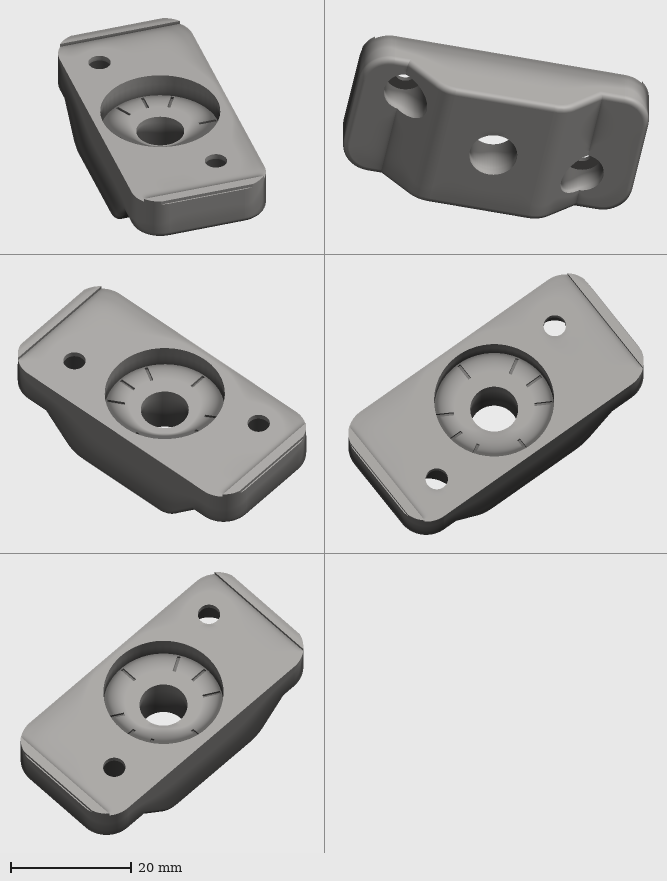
import cadquery as cq

LENGTH = 49.0
WIDTH = 23.25
HEIGHT = 13.6
CORNER_RADIUS = 5.0
BOTTOM_FILLET = 1.0

LIP_HEIGHT = 0.6
LIP_INNER_INSET = 1.8
LIP_OUTER_INSET = 0.2

FLANGE_BOTTOM_Z = 6.05
HUMP_CENTER_X = -0.75
HUMP_FLAT_HALF = 10.5
HUMP_CORNER_RADIUS = 5.0

DIAL_X = -0.5
DIAL_Y = -0.15
DIAL_DIAMETER = 20.0
DIAL_DEPTH = 4.1
CENTER_HOLE_DIAMETER = 8.0

TICK_ANGLES = (0, 30, 90, 150, 180, 210, 270, 330)
TICK_INNER_RADIUS = 6.75
TICK_LENGTH = 3.0
TICK_WIDTH = 0.55
TICK_DEPTH = 0.5

SCREW_OFFSET_X = 16.0
SCREW_POSITIONS = (
    (DIAL_X - SCREW_OFFSET_X, -5.6),
    (DIAL_X + SCREW_OFFSET_X, 4.4),
)
SCREW_DIAMETER = 3.7
COUNTERBORE_DIAMETER = 7.2
SCREW_WEB = 1.0

END_X = LENGTH / 2
DECK_Z = HEIGHT - LIP_HEIGHT
DIAL_FLOOR_Z = DECK_Z - DIAL_DEPTH


def make_body():
    """Rounded block with a hump below, rounded along its whole bottom outline."""
    slope_top_half = HUMP_FLAT_HALF + FLANGE_BOTTOM_Z
    profile = (
        cq.Workplane("XZ")
        .polyline([
            (-END_X, HEIGHT),
            (-END_X, FLANGE_BOTTOM_Z),
            (HUMP_CENTER_X - slope_top_half, FLANGE_BOTTOM_Z),
            (HUMP_CENTER_X - HUMP_FLAT_HALF, 0),
            (HUMP_CENTER_X + HUMP_FLAT_HALF, 0),
            (HUMP_CENTER_X + slope_top_half, FLANGE_BOTTOM_Z),
            (END_X, FLANGE_BOTTOM_Z),
            (END_X, HEIGHT),
        ])
        .close()
        .extrude(WIDTH / 2, both=True)
    )
    body = profile.faces("<Z").edges("|Y").fillet(HUMP_CORNER_RADIUS)
    body = body.edges("|Z").fillet(CORNER_RADIUS)

    return body.faces("-Z").edges("|X").fillet(BOTTOM_FILLET)


def box_between(x_min, x_max, z_min, z_max):
    """Block spanning the full width between the given X and Z limits."""
    return (
        cq.Workplane("XY", origin=(x_min, 0, z_min))
        .box(x_max - x_min, WIDTH, z_max - z_min, centered=(False, True, False))
    )


def cut_lips(body):
    """Lower the deck between the lips and set the lips back from the ends."""
    deck_half = END_X - LIP_INNER_INSET
    lip_half = END_X - LIP_OUTER_INSET
    for x_min, x_max in ((-END_X, -lip_half), (-deck_half, deck_half), (lip_half, END_X)):
        body = body.cut(box_between(x_min, x_max, DECK_Z, HEIGHT))
    return body


def cylinder(x, y, diameter, z_min, z_max):
    """Upright cylinder between two heights."""
    return (
        cq.Workplane("XY", origin=(x, y, z_min))
        .circle(diameter / 2)
        .extrude(z_max - z_min)
    )


def cut_dial(body):
    """Sink the round recess, its central hole and the tick grooves."""
    body = body.cut(cylinder(DIAL_X, DIAL_Y, DIAL_DIAMETER, DIAL_FLOOR_Z, HEIGHT))
    body = body.cut(cylinder(DIAL_X, DIAL_Y, CENTER_HOLE_DIAMETER, 0, HEIGHT))
    tick_radius = TICK_INNER_RADIUS + TICK_LENGTH / 2
    for angle in TICK_ANGLES:
        tick = (
            cq.Workplane("XY")
            .box(TICK_LENGTH, TICK_WIDTH, TICK_DEPTH, centered=(True, True, False))
            .translate((tick_radius, 0, 0))
            .rotate((0, 0, 0), (0, 0, 1), angle)
            .translate((DIAL_X, DIAL_Y, DIAL_FLOOR_Z - TICK_DEPTH))
        )
        body = body.cut(tick)
    return body


def cut_screw_holes(body):
    """Drill the screw holes and open their counterbores through the underside."""
    for x, y in SCREW_POSITIONS:
        body = body.cut(cylinder(x, y, SCREW_DIAMETER, 0, HEIGHT))
        body = body.cut(cylinder(x, y, COUNTERBORE_DIAMETER, 0, DECK_Z - SCREW_WEB))
    return body


result = cut_screw_holes(cut_dial(cut_lips(make_body())))